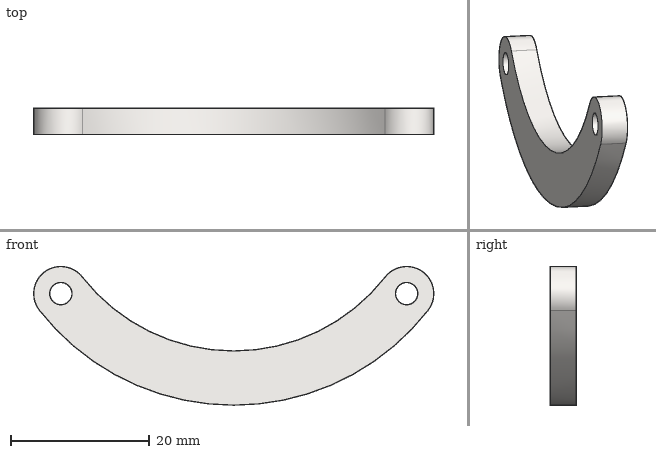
import cadquery as cq
import math

length = 57.95
thickness = 3.8
end_radius = 3.95
hole_diameter = 3.2
sag = 12.2

hole_x = length / 2 - end_radius
arc_radius = (hole_x**2 + sag**2) / (2 * sag)
arc_center_z = arc_radius - sag
half_angle = math.asin(hole_x / arc_radius)
inner_radius = arc_radius - end_radius
outer_radius = arc_radius + end_radius


def arc_point(radius, angle):
    """Point at an angle from straight down, about the centre of the band."""
    return (radius * math.sin(angle), arc_center_z - radius * math.cos(angle))


def end_tip(side):
    """Outermost point of a rounded end, along the direction of the centre arc."""
    return (
        side * (hole_x + end_radius * math.cos(half_angle)),
        end_radius * math.sin(half_angle),
    )


band = (
    cq.Workplane("XZ")
    .moveTo(*arc_point(inner_radius, -half_angle))
    .threePointArc(arc_point(inner_radius, 0), arc_point(inner_radius, half_angle))
    .threePointArc(end_tip(1), arc_point(outer_radius, half_angle))
    .threePointArc(arc_point(outer_radius, 0), arc_point(outer_radius, -half_angle))
    .threePointArc(end_tip(-1), arc_point(inner_radius, -half_angle))
    .close()
    .extrude(thickness / 2, both=True)
)

holes = (
    cq.Workplane("XZ")
    .pushPoints([(-hole_x, 0), (hole_x, 0)])
    .circle(hole_diameter / 2)
    .extrude(thickness, both=True)
)

result = band.cut(holes)